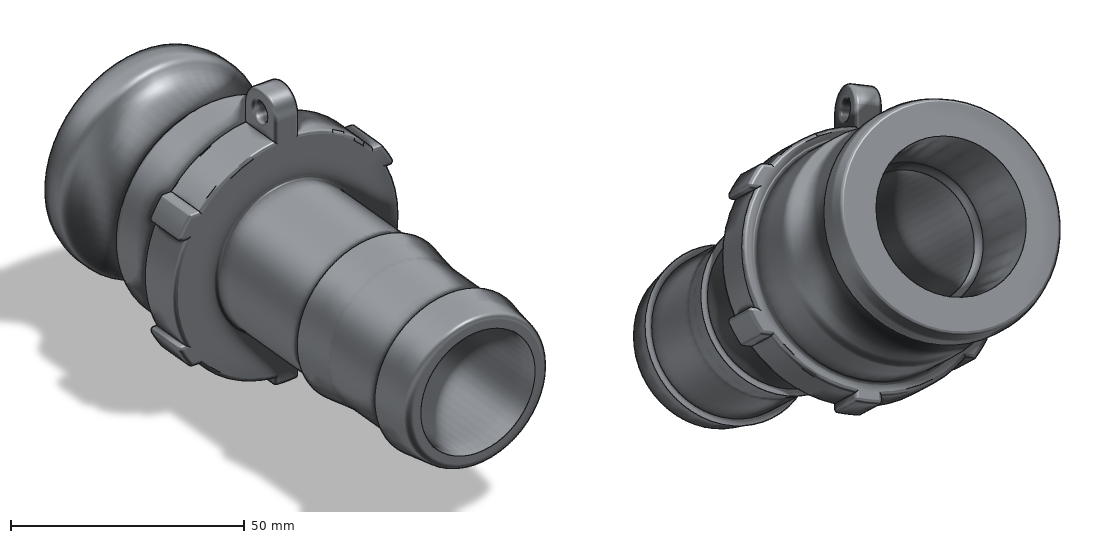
import cadquery as cq
import math

LENGTH = 123.2
TOLERANCE = 0.01

BODY_R = 53.3 / 2
LIP_TAPER_END = 3.2
LIP_FACE_R = 25.9
LIP_FACE_ROUND = 0.7
LIP_TAPER_ROUND = 2.5

GROOVE_X = 17.6
GROOVE_FLOOR_R = 21.4
GROOVE_ARC_R = 11.0
GROOVE_LIP_ROUND = 3.3

COLLAR_X = 41.9
COLLAR_WIDTH = 11.3
COLLAR_R = 29.7
RIB_R = 31.5
SIDE_RIB_Z_INNER = 13.0
SIDE_RIB_Z_OUTER = 19.0
LUG_THICKNESS = 6.4
LUG_HOLE_Z = 34.4
LUG_HOLE_D = 5.0
LUG_HOLE_ROUND = 0.7
COLLAR_ROUND = 0.9
ROOT_ROUND = 0.7

TAIL_R = 36.8 / 2
BARB_R = 20.0
BARB_LENGTH = 9.7
BARB_STARTS = (84.6, 113.1)
TAIL_END_ROUND = 1.5

MOUTH_R = 17.7
MOUTH_END_R = 16.5
MOUTH_DEPTH = 19.3
PASSAGE_R = 30.2 / 2
PASSAGE_X = 20.8

COLLAR_END = COLLAR_X + COLLAR_WIDTH
COLLAR_MID = COLLAR_X + COLLAR_WIDTH / 2
LUG_END_R = COLLAR_WIDTH / 2


def revolve_about_x(outline):
    """Turn a closed (x, radius) outline into a solid of revolution."""
    return outline.revolve(360, (0, 0, 0), (1, 0, 0))


def round_circles(solid, radius, *places):
    """Fillet the circular edges that lie at the given (x, circle radius) places."""
    def is_chosen(edge):
        if edge.geomType() != "CIRCLE":
            return False
        x = edge.arcCenter().x
        return any(math.hypot(x - px, edge.radius() - pr) < TOLERANCE for px, pr in places)

    return solid.edges().filter(is_chosen).fillet(radius)


def coupling():
    """Cylinder with a tapered lip and a round cam groove whose edges blend into it."""
    blank = revolve_about_x(
        cq.Workplane("XY")
        .lineTo(0, LIP_FACE_R)
        .lineTo(LIP_TAPER_END, BODY_R)
        .lineTo(COLLAR_MID, BODY_R)
        .lineTo(COLLAR_MID, 0)
        .close()
    )
    blank = round_circles(blank, LIP_FACE_ROUND, (0, LIP_FACE_R))
    blank = round_circles(blank, LIP_TAPER_ROUND, (LIP_TAPER_END, BODY_R))

    groove_centre_r = GROOVE_FLOOR_R + GROOVE_ARC_R
    round_centre_r = BODY_R - GROOVE_LIP_ROUND
    rise = groove_centre_r - round_centre_r
    reach = GROOVE_ARC_R + GROOVE_LIP_ROUND
    half_span = math.sqrt(reach**2 - rise**2)
    touch_x = half_span * GROOVE_ARC_R / reach
    touch_r = groove_centre_r - rise * GROOVE_ARC_R / reach
    tilt = math.atan2(half_span, rise) / 2
    mid_x = half_span - GROOVE_LIP_ROUND * math.sin(tilt)
    mid_r = round_centre_r + GROOVE_LIP_ROUND * math.cos(tilt)

    groove = revolve_about_x(
        cq.Workplane("XY")
        .moveTo(GROOVE_X - half_span, BODY_R)
        .threePointArc((GROOVE_X - mid_x, mid_r), (GROOVE_X - touch_x, touch_r))
        .threePointArc((GROOVE_X, GROOVE_FLOOR_R), (GROOVE_X + touch_x, touch_r))
        .threePointArc((GROOVE_X + mid_x, mid_r), (GROOVE_X + half_span, BODY_R))
        .close()
    )
    return blank.cut(groove)


def hose_tail():
    """Straight tube with two saw-tooth barbs, rounded at its free end."""
    first, last = BARB_STARTS
    slope = (BARB_R - TAIL_R) / BARB_LENGTH
    end_r = BARB_R - slope * (LENGTH - last)
    tail = revolve_about_x(
        cq.Workplane("XY")
        .moveTo(COLLAR_MID, 0)
        .lineTo(COLLAR_MID, TAIL_R)
        .lineTo(first, TAIL_R)
        .lineTo(first, BARB_R)
        .lineTo(first + BARB_LENGTH, TAIL_R)
        .lineTo(last, TAIL_R)
        .lineTo(last, BARB_R)
        .lineTo(LENGTH, end_r)
        .lineTo(LENGTH, 0)
        .close()
    )
    return round_circles(tail, TAIL_END_ROUND, (LENGTH, end_r))


def collar_disc(radius):
    return cq.Workplane("YZ").workplane(offset=COLLAR_X).circle(radius).extrude(COLLAR_WIDTH)


def ribs():
    """Two ribs on each side and one underneath, all cut off by the same outer circle."""
    rib_height = SIDE_RIB_Z_OUTER - SIDE_RIB_Z_INNER
    rib_z = (SIDE_RIB_Z_OUTER + SIDE_RIB_Z_INNER) / 2
    bars = (
        cq.Workplane("XY")
        .box(COLLAR_WIDTH, LUG_THICKNESS, RIB_R)
        .translate((COLLAR_MID, 0, -RIB_R / 2))
    )
    for z in (-rib_z, rib_z):
        side_bar = cq.Workplane("XY").box(COLLAR_WIDTH, 2 * RIB_R, rib_height)
        bars = bars.union(side_bar.translate((COLLAR_MID, 0, z)))
    return bars.intersect(collar_disc(RIB_R))


def lug():
    """Round-ended plate standing on top of the collar."""
    return (
        cq.Workplane("XZ", origin=(0, LUG_THICKNESS / 2, 0))
        .moveTo(COLLAR_X, 0)
        .lineTo(COLLAR_X, LUG_HOLE_Z)
        .threePointArc((COLLAR_MID, LUG_HOLE_Z + LUG_END_R), (COLLAR_END, LUG_HOLE_Z))
        .lineTo(COLLAR_END, 0)
        .close()
        .extrude(LUG_THICKNESS)
    )


def collar():
    """Collar, ribs and drilled lug, with every outward edge rounded."""
    def is_outward(edge):
        at = edge.Center()
        axis_distance = math.hypot(at.y, at.z)
        return math.hypot(at.x - COLLAR_MID, axis_distance - COLLAR_R) > TOLERANCE

    blank = collar_disc(COLLAR_R).union(ribs()).union(lug())
    rounded = blank.edges().filter(is_outward).fillet(COLLAR_ROUND)
    hole = (
        cq.Workplane("XZ", origin=(COLLAR_MID, LUG_THICKNESS / 2, LUG_HOLE_Z))
        .circle(LUG_HOLE_D / 2)
        .extrude(LUG_THICKNESS)
    )
    return round_circles(rounded.cut(hole), LUG_HOLE_ROUND, (COLLAR_MID, LUG_HOLE_D / 2))


def bore():
    return revolve_about_x(
        cq.Workplane("XY")
        .lineTo(0, MOUTH_R)
        .lineTo(MOUTH_DEPTH, MOUTH_END_R)
        .lineTo(PASSAGE_X, PASSAGE_R)
        .lineTo(LENGTH, PASSAGE_R)
        .lineTo(LENGTH, 0)
        .close()
    )


adapter = coupling().union(collar()).union(hose_tail())
adapter = round_circles(adapter, ROOT_ROUND, (COLLAR_X, BODY_R), (COLLAR_END, TAIL_R))
result = adapter.cut(bore())